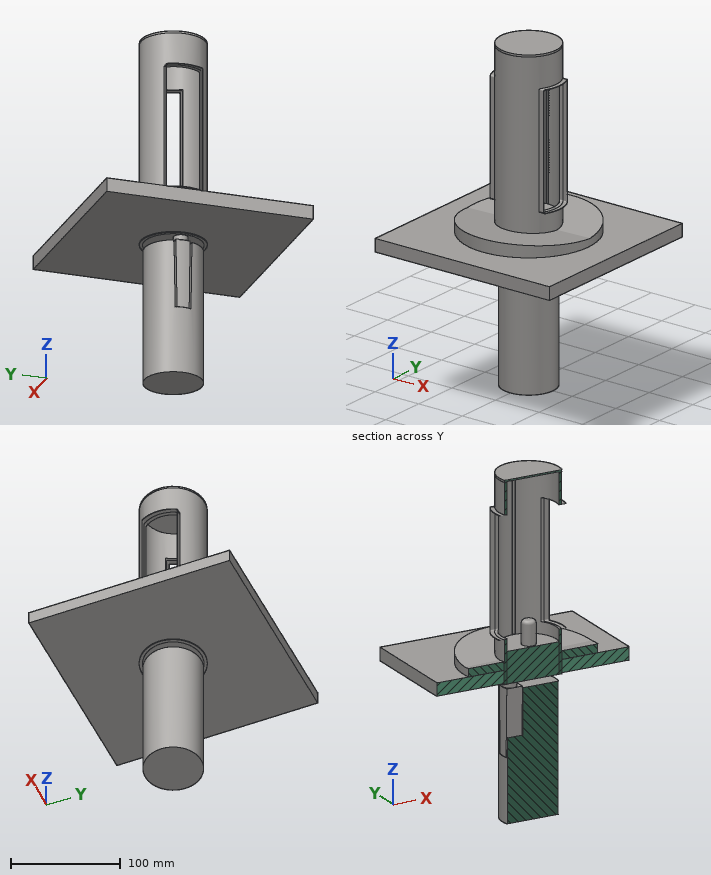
import cadquery as cq

OVERALL_HEIGHT = 334.5
TOP_Z = 184.5
BOTTOM_Z = TOP_Z - OVERALL_HEIGHT

PLATE_SIDE = 200.0
PLATE_THICKNESS = 13.5
RING_RADIUS = 68.0
RING_RIM_HEIGHT = 13.0
RING_VALLEY_HEIGHT = 7.7
VALLEY_TURN = 2.8

TOWER_RADIUS = 31.0
TOWER_WALL = 3.0
TOWER_BOTTOM_Z = -PLATE_THICKNESS - 1.0
BORE_RADIUS = TOWER_RADIUS - TOWER_WALL
LID_THICKNESS = 2.0
GROOVE_WIDTH = 3.0
GROOVE_DEPTH = 1.0
WINDOW_WIDTH = 34.8
WINDOW_BOTTOM_Z = 29.8
WINDOW_TOP_Z = 150.3
WINDOW_CORNER = 1.0
FRAME_WALL = 0.5
FRAME_RADIUS = 35.5

PLUG_TOP_Z = 17.7
PIN_DIAMETER = 13.7
PIN_RADIUS = PIN_DIAMETER / 2
PIN_TOP_Z = 41.5
PIN_TIP_ROUNDING = 3.5

CYLINDER_RADIUS = 27.8
CYLINDER_TOP_Z = -20.5
SLOT_BOTTOM_Z = -86.0
SLOT_TOP_WIDTH = 17.5
SLOT_BOTTOM_WIDTH = 15.5
SLOT_INNER_X = -10.5
STEM_X = -20.0
KEY_TOP_Z = -19.5
KEY_RADIUS = 27.5
KEY_TOP_WIDTH = PIN_DIAMETER
KEY_BOTTOM_WIDTH = 11.7


def cylinder(radius, bottom_z, top_z, x=0.0):
    """Upright round bar centred at (x, 0)."""
    return cq.Workplane("XY", origin=(x, 0, bottom_z)).circle(radius).extrude(top_z - bottom_z)


def side_wedge(top_width, bottom_width, top_z, bottom_z, inner_x):
    """Bar tapering towards its foot, running from inner_x out past the -X side of the cylinder."""
    return (
        cq.Workplane("YZ", origin=(inner_x, 0, 0))
        .polyline([
            (-top_width / 2, top_z),
            (top_width / 2, top_z),
            (bottom_width / 2, bottom_z),
            (-bottom_width / 2, bottom_z),
        ])
        .close()
        .extrude(-CYLINDER_RADIUS)
    )


def window_block(margin):
    """Rounded bar along X through both windows, grown by margin on every side of the opening."""
    height = WINDOW_TOP_Z - WINDOW_BOTTOM_Z
    return (
        cq.Workplane("XY")
        .box(3 * FRAME_RADIUS, WINDOW_WIDTH + 2 * margin, height + 2 * margin)
        .edges("|X")
        .fillet(WINDOW_CORNER + margin)
        .translate((0, 0, (WINDOW_TOP_Z + WINDOW_BOTTOM_Z) / 2))
    )


def make_plate():
    """Square plate with a hole for the tower."""
    plate = cq.Workplane("XY").rect(PLATE_SIDE, PLATE_SIDE).extrude(-PLATE_THICKNESS)
    return plate.cut(cylinder(TOWER_RADIUS, -PLATE_THICKNESS, 0))


def make_ring():
    """Ring around the tower whose top slopes down from both sides to a valley on its diameter."""
    rise = RING_RIM_HEIGHT - RING_VALLEY_HEIGHT
    reach = 2 * RING_RADIUS
    valley = (
        cq.Workplane("YZ", origin=(-reach, 0, 0))
        .moveTo(0, RING_VALLEY_HEIGHT)
        .lineTo(reach, RING_VALLEY_HEIGHT + 2 * rise)
        .lineTo(-reach, RING_VALLEY_HEIGHT + 2 * rise)
        .close()
        .extrude(2 * reach)
        .rotate((0, 0, 0), (0, 0, 1), VALLEY_TURN)
    )
    ring = cylinder(RING_RADIUS, 0, RING_RIM_HEIGHT).cut(valley)
    return ring.cut(cylinder(TOWER_RADIUS, 0, RING_RIM_HEIGHT))


def bore_groove():
    """Bar reaching just into the +Y wall of the bore, from the plug up to the lid."""
    reach = BORE_RADIUS + GROOVE_DEPTH
    height = TOP_Z - LID_THICKNESS - PLUG_TOP_Z
    return (
        cq.Workplane("XY", origin=(0, reach / 2, PLUG_TOP_Z))
        .rect(GROOVE_WIDTH, reach)
        .extrude(height)
    )


def make_tower():
    """Grooved tube with two opposite windows, each edged by a thin frame standing out of the tube."""
    tower = cylinder(TOWER_RADIUS, TOWER_BOTTOM_Z, TOP_Z - LID_THICKNESS)
    frames = cylinder(FRAME_RADIUS, TOWER_BOTTOM_Z, TOP_Z - LID_THICKNESS).intersect(window_block(FRAME_WALL))
    bore = cylinder(BORE_RADIUS, TOWER_BOTTOM_Z, TOP_Z - LID_THICKNESS)
    return tower.union(frames).cut(bore).cut(bore_groove()).cut(window_block(0))


def make_lid():
    """Disc closing the top of the tower."""
    return cylinder(TOWER_RADIUS, TOP_Z - LID_THICKNESS, TOP_Z)


def make_plug():
    """Floor filling the foot of the tower, with a round-tipped pin standing on the axis."""
    pin = cylinder(PIN_RADIUS, PLUG_TOP_Z, PIN_TOP_Z).faces(">Z").edges().fillet(PIN_TIP_ROUNDING)
    return cylinder(BORE_RADIUS, TOWER_BOTTOM_Z, PLUG_TOP_Z).union(pin)


def make_lower_cylinder():
    """Solid cylinder with a tapered slot in its -X side, open at the top."""
    slot = side_wedge(SLOT_TOP_WIDTH, SLOT_BOTTOM_WIDTH, CYLINDER_TOP_Z, SLOT_BOTTOM_Z, SLOT_INNER_X)
    return cylinder(CYLINDER_RADIUS, BOTTOM_Z, CYLINDER_TOP_Z).cut(slot)


def make_key():
    """Tapered key filling the depth of the slot, hung from the plug by a round stem."""
    wedge = side_wedge(KEY_TOP_WIDTH, KEY_BOTTOM_WIDTH, KEY_TOP_Z, SLOT_BOTTOM_Z, SLOT_INNER_X)
    key = wedge.intersect(cylinder(KEY_RADIUS, SLOT_BOTTOM_Z, KEY_TOP_Z))
    return key.union(cylinder(PIN_RADIUS, KEY_TOP_Z, TOWER_BOTTOM_Z, STEM_X))


plate = make_plate()
ring = make_ring()
tower = make_tower()
lid = make_lid()
plug = make_plug()
lower_cylinder = make_lower_cylinder()
key = make_key()

result = cq.Compound.makeCompound([
    plate.val(),
    ring.val(),
    tower.val(),
    lid.val(),
    plug.val(),
    lower_cylinder.val(),
    key.val(),
])